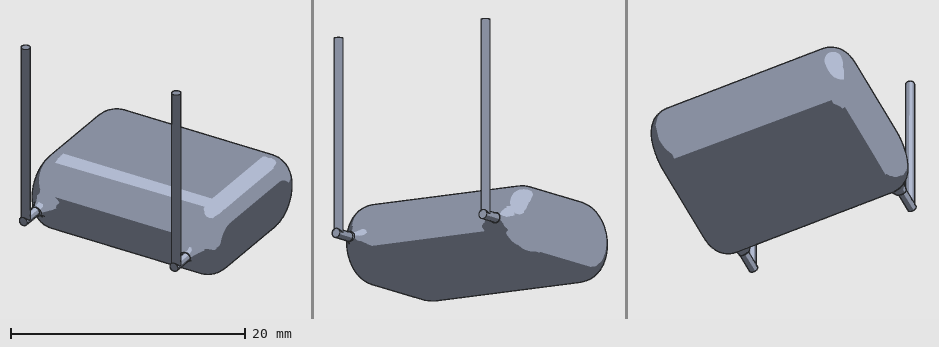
import cadquery as cq

body_width = 18.5
body_depth = 15.0
body_height = 7.0
end_round = 1.82

lead_pitch = 15.0
lead_diameter = 0.8
lead_radius = lead_diameter / 2
lead_reach = 3.0
overall_height = 20.5

neck_radius = 0.43
neck_length = 0.98
neck_fillet = 1.7
neck_spare = 2.05

front_y = -body_depth / 2
neck_end_y = front_y - neck_length
lead_end_y = front_y - lead_reach
lead_top_z = overall_height - body_height / 2
lead_positions = [-lead_pitch / 2, lead_pitch / 2]


def rod_along_y(x, radius, y_start, y_end):
    """Round rod at mid-height, running forward from y_start to y_end."""
    end_plane = cq.Plane(origin=(x, y_start, 0), xDir=(0, 0, -1), normal=(0, -1, 0))
    return cq.Workplane(end_plane).circle(radius).extrude(y_start - y_end)


def make_body():
    """Rounded slab with a flared neck for each lead."""
    body = (
        cq.Workplane("YZ")
        .slot2D(body_depth, body_height)
        .extrude(body_width / 2, both=True)
        .faces("<X or >X")
        .edges()
        .fillet(end_round)
    )
    long_neck_end_y = neck_end_y - neck_spare
    for x in lead_positions:
        neck = rod_along_y(x, neck_radius, front_y + body_height / 2, long_neck_end_y)
        body = body.union(neck)
    for x in lead_positions:
        reach = 2 * neck_radius
        root_zone = cq.selectors.BoxSelector(
            (x - reach, front_y - neck_radius, -reach),
            (x + reach, front_y + neck_radius, reach),
        )
        body = body.edges(root_zone).fillet(neck_fillet)

    trim = cq.Workplane("XY").box(body_width, 2 * neck_spare, body_height)
    return body.cut(trim.translate((0, neck_end_y - neck_spare, 0)))


def make_lead(x):
    """Wire running forward from the neck, with an upright leg at its end."""
    foot = rod_along_y(x, lead_radius, neck_end_y, lead_end_y)
    leg = (
        cq.Workplane("XY", origin=(x, lead_end_y + lead_radius, 0))
        .circle(lead_radius)
        .extrude(lead_top_z)
    )
    return foot.union(leg)


body = make_body()
leads = [make_lead(x) for x in lead_positions]

result = cq.Compound.makeCompound([body.solids().val(), *[lead.val() for lead in leads]])